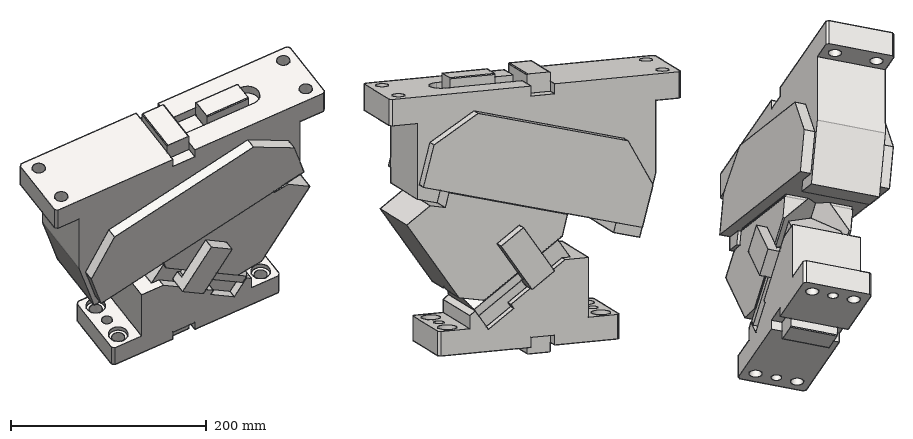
import cadquery as cq
import math


body_width = 74.0
base_height = 275.2
corner_chamfer = 2.5
bolt_spacing = 45.0
bolt_diameter = 13.5
through = 640.0

key_length = 50.5
key_width = 26.0
key_depth = 10.5
key_height = 20.5
key_y = -8.0
key_chamfer = 1.0

upper_length = 320.0
upper_flange = 28.0
upper_back_y = 130.0
upper_front_y = -132.0
upper_bolt_y = 145.0
pocket_width = 25.0
pocket_depth = 10.5
pocket_end_y = 101.8
block_width = 22.7
block_back_y = 84.0
block_front_y = 34.5
block_rise = 10.0
plate_width = 97.0

slideway_angle = 15.0
slideway_origin = (-113.0, 118.0)
plate_length = 249.3
plate_height = 85.5
plate_side = 45.0
plate_corner = 39.5
slot_back = -225.0
slot_front = -25.0
front_lug_end = 4.8
back_lug_drop = 15.0
front_lug_drop = 12.5

lower_back_y = 106.5
lower_front_y = -92.5
lower_flange = 26.0
block_rear_y = 72.3
block_rear_z = 39.7
block_nose_y = -58.2
block_top = 89.0
lower_bolt_inset = 15.0
counterbore_diameter = 20.0
counterbore_depth = 5.0
dowel_diameter = 11.0

rail_angle = 35.0
rail_origin = (67.2, 45.5)
rail_length = 114.0
rail_neck_width = 56.5
rail_flange_width = 72.0
rail_flange_thickness = 8.5
rail_flange_end = 84.8
roof_height = 25.5
recess_depth = 27.0
recess_floor_length = 34.0
recess_step = 21.5
shoulder_drop = 1.5

slide_clearance = 0.5
slide_tail = 5.8
slide_tail_height = 121.3
slide_tail_end = 25.5
slide_heel_height = 21.5
slide_sole_start = 14.5
slide_sole_end = 118.5
slide_back = -214.7
slide_front = -80.0
slide_shoulder_drop = 18.2
slide_neck_drop = 2.5
slide_neck_width = 72.0
clamp_start = 59.0
clamp_end = 89.0
clamp_top = 41.0
clamp_bottom = 18.5


def slideway_point(along, up):
    """(Y, Z) of a point given in the directions of the slideway."""
    angle = math.radians(slideway_angle)
    y = slideway_origin[0] - along * math.cos(angle) - up * math.sin(angle)
    z = slideway_origin[1] - along * math.sin(angle) + up * math.cos(angle)
    return (y, z)


def slideway_along_at_y(y, up):
    """How far along the slideway a line at the given height reaches a Y."""
    angle = math.radians(slideway_angle)
    return (slideway_origin[0] - y - up * math.sin(angle)) / math.cos(angle)


def rail_point(along, up):
    """(Y, Z) of a point given in the directions of the rail."""
    angle = math.radians(rail_angle)
    y = rail_origin[0] - along * math.cos(angle) + up * math.sin(angle)
    z = rail_origin[1] + along * math.sin(angle) + up * math.cos(angle)
    return (y, z)


def rail_along_at_z(z, up):
    """How far along the rail a line at the given height reaches a Z."""
    angle = math.radians(rail_angle)
    return (z - rail_origin[1] - up * math.cos(angle)) / math.sin(angle)


def slab(outline, width):
    """A (Y, Z) outline made solid, centred on X = 0."""
    return cq.Workplane("YZ").polyline(outline).close().extrude(width / 2, both=True)


def box(width, y_start, y_end, z_start, z_end):
    """A box centred on X = 0."""
    return cq.Workplane("XY").box(width, y_end - y_start, z_end - z_start).translate(
        (0, (y_start + y_end) / 2, (z_start + z_end) / 2)
    )


def key_slot(z_start, z_end):
    return box(through, key_y - key_width / 2, key_y + key_width / 2, z_start, z_end)


def key(z_start, outer_face):
    block = box(key_length, key_y - key_width / 2, key_y + key_width / 2, z_start, z_start + key_height)
    return block.faces(outer_face).edges("|X").chamfer(key_chamfer)


def flange(y_start, y_end, z_start, z_end):
    return box(body_width, y_start, y_end, z_start, z_end).edges("|Z").chamfer(corner_chamfer)


def holes(points, diameter, z_start, depth):
    return cq.Workplane("XY").workplane(offset=z_start).pushPoints(points).circle(diameter / 2).extrude(depth)


def make_upper_body():
    flange_bottom = base_height - upper_flange
    body = flange(-upper_length / 2, upper_length / 2, flange_bottom, base_height)
    front_lug_bottom = slideway_point(front_lug_end, -front_lug_drop)
    lug_lean = math.tan(math.radians(slideway_angle))
    lug_top_z = front_lug_bottom[1] + (front_lug_bottom[0] - upper_front_y) / lug_lean
    back_lug_end = slideway_along_at_y(upper_back_y, -back_lug_drop)
    body = body.union(slab(
        [
            (upper_back_y, flange_bottom),
            slideway_point(back_lug_end, -back_lug_drop),
            slideway_point(slot_back, -back_lug_drop),
            slideway_point(slot_back, 0),
            slideway_point(slot_front, 0),
            slideway_point(slot_front, -front_lug_drop),
            front_lug_bottom,
            (upper_front_y, lug_top_z),
            (upper_front_y, flange_bottom),
        ],
        body_width,
    ))
    body = body.union(side_plates())

    pocket_floor = base_height - pocket_depth
    pocket_centre_y = pocket_end_y - pocket_width / 2
    body = body.cut(box(pocket_width, key_y, pocket_centre_y, pocket_floor, base_height))
    body = body.cut(holes([(0, pocket_centre_y)], pocket_width, pocket_floor, pocket_depth))
    block = box(block_width, block_front_y, block_back_y, pocket_floor, base_height + block_rise)
    body = body.cut(key_slot(base_height - key_depth, base_height))
    body = body.union(block.faces(">Z").edges("|Y").chamfer(key_chamfer))
    body = body.union(key(base_height - key_depth, ">Z"))

    bolts = [(x * bolt_spacing / 2, y * upper_bolt_y) for x in (-1, 1) for y in (-1, 1)]
    return body.cut(holes(bolts, bolt_diameter, flange_bottom, upper_flange))


def side_plates():
    """Both side plates, with the thickness of the body between them cut out."""
    outline = [
        slideway_point(-plate_length, 0),
        slideway_point(-plate_length, plate_side),
        slideway_point(plate_corner - plate_length, plate_height),
        slideway_point(-plate_corner, plate_height),
        slideway_point(0, plate_side),
        slideway_point(0, 0),
    ]
    return slab(outline, plate_width).cut(slab(outline, body_width))


def rail_prism(half_section, start, end):
    """A half cross-section of (X, up) points, mirrored about X = 0 and run along the rail."""
    angle = math.radians(rail_angle)
    direction = (0, -math.cos(angle), math.sin(angle))
    y, z = rail_point(start, 0)
    plane = cq.Plane(origin=(0, y, z), xDir=(1, 0, 0), normal=direction)
    section = half_section + [(-x, up) for x, up in reversed(half_section) if x > 0]
    return cq.Workplane(plane).polyline(section).close().extrude(end - start)


def roof_up(x):
    """Height of the V roof above the flange edge, at a distance x from the middle."""
    return roof_height * (1 - x / (rail_flange_width / 2))


def make_rail():
    """A neck along the whole rail, with a wider flange that stops short of the front end."""
    neck = rail_neck_width / 2
    edge = rail_flange_width / 2
    middle = [(0, roof_height), (neck, roof_up(neck)), (neck, -recess_depth)]
    head = [(0, roof_height), (edge, 0), (edge, -rail_flange_thickness)]
    return rail_prism(middle, 0, rail_length).union(rail_prism(head, 0, rail_flange_end))


def make_lower_body():
    body = flange(lower_front_y, lower_back_y, 0, lower_flange)
    step_top = rail_along_at_z(block_top, -recess_step)
    body = body.union(slab(
        [
            (block_rear_y, 0),
            (block_rear_y, block_rear_z),
            rail_point(0, -shoulder_drop),
            rail_point(recess_floor_length, -recess_step),
            rail_point(step_top, -recess_step),
            (block_nose_y, block_top),
            (block_nose_y, 0),
        ],
        body_width,
    ))
    recess = slab(
        [
            rail_point(0, 0),
            rail_point(0, -recess_depth),
            rail_point(recess_floor_length, -recess_depth),
            rail_point(recess_floor_length, 0),
        ],
        body_width,
    )
    body = body.cut(recess).union(make_rail())
    body = body.cut(key_slot(0, key_depth)).union(key(key_depth - key_height, "<Z"))

    bolt_rows = (lower_front_y + lower_bolt_inset, lower_back_y - lower_bolt_inset)
    bolts = [(x * bolt_spacing / 2, y) for x in (-1, 1) for y in bolt_rows]
    dowels = [(0, y) for y in bolt_rows]
    body = body.cut(holes(bolts, bolt_diameter, 0, lower_flange))
    body = body.cut(holes(bolts, counterbore_diameter, lower_flange - counterbore_depth, counterbore_depth))
    return body.cut(holes(dowels, dowel_diameter, 0, lower_flange))


def make_slide():
    body = slab(
        [
            rail_point(-slide_tail, slide_tail_height),
            rail_point(slide_tail_end, slide_tail_height),
            slideway_point(slide_back, -slide_shoulder_drop),
            slideway_point(slide_back, -slide_neck_drop),
            slideway_point(slide_front, -slide_neck_drop),
            rail_point(slide_sole_end, slide_clearance),
            rail_point(slide_sole_start, slide_clearance),
            rail_point(-slide_tail, slide_heel_height),
        ],
        body_width,
    )
    body = body.union(slab(
        [
            slideway_point(slide_back, -slide_neck_drop),
            slideway_point(slide_back, 0),
            slideway_point(slide_front, 0),
            slideway_point(slide_front, -slide_neck_drop),
        ],
        slide_neck_width,
    ))
    v_groove = [(0, roof_height), (rail_flange_width / 2, 0)]
    body = body.cut(rail_prism(v_groove, -through, through))
    return body.union(clamps())


def clamp_outline(top):
    return [
        rail_point(clamp_start, top),
        rail_point(clamp_end, top),
        rail_point(clamp_end, -clamp_bottom),
        rail_point(clamp_start, -clamp_bottom),
    ]


def clamps():
    """A clamp on each side of the slide, with a foot under the rail's flange that meets its neck."""
    bars = slab(clamp_outline(clamp_top), plate_width).cut(slab(clamp_outline(clamp_top), body_width))
    feet = slab(clamp_outline(-rail_flange_thickness), plate_width)
    return bars.union(feet.cut(slab(clamp_outline(-rail_flange_thickness), rail_neck_width)))


upper_body = make_upper_body()
slide = make_slide()
lower_body = make_lower_body()

result = cq.Compound.makeCompound([body.solids().val() for body in (upper_body, slide, lower_body)])